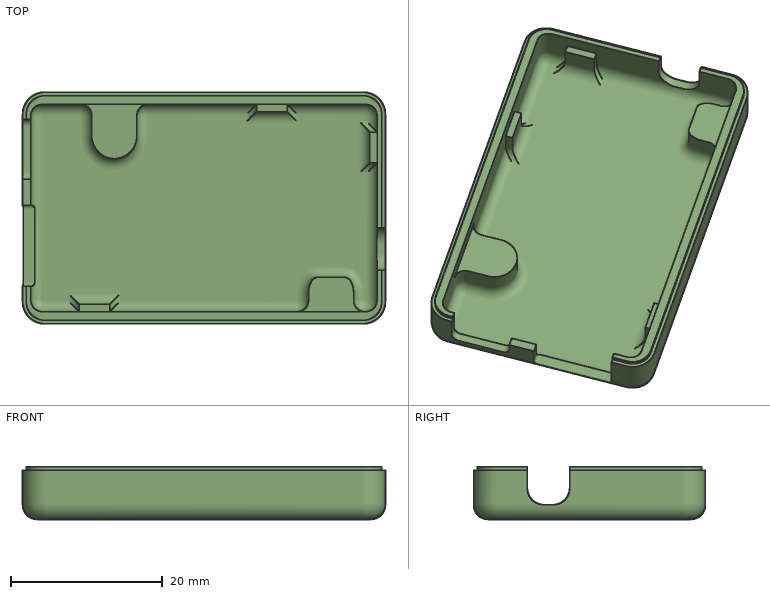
import cadquery as cq
import math

length = 47.9
width = 30.6
height = 7.0
corner_radius = 2.95
bottom_edge_radius = 1.95

lip_height = 0.5
lip_inset = 0.5

end_wall = 1.1
side_wall = 1.65
floor_thickness = 1.0
cavity_length = length - 2 * end_wall
cavity_width = width - 2 * side_wall
cavity_corner_radius = 1.55
floor_fillet = 1.45

support_top = 5.05
boss_radius = 2.95
boss_wall_fillet = 1.5
edge_pick_margin = 0.05
back_boss_x = -11.85
back_boss_center_y = 9.5
front_boss_x = 16.75
front_boss_center_y = -11.1
front_boss_flat_y = -9.15
front_boss_nose_radius = 0.95
clip_width = 4.0
clip_depth = 0.95
front_clip_x = -14.45
back_clip_x = 8.95
end_clip_y = 8.0

opening_front_y = -10.3
opening_back_y = 11.7
tab_front_y = 0.4
tab_back_y = 3.8
tab_top = 4.4
back_pocket_bottom = 2.3
back_pocket_radius = 0.95
front_pocket_bottom = 1.35
front_pocket_radius = 0.5

notch_y = -5.4
notch_width = 5.55
notch_bottom = 1.95
notch_radius = 2.15

clearance = 0.5
cut_depth = end_wall + floor_fillet


def rounded_block(size_x, size_y, bottom, top, radius):
    """Upright block centred on Z with rounded vertical edges."""
    block = cq.Workplane("XY").workplane(offset=bottom).rect(size_x, size_y).extrude(top - bottom)
    return block.edges("|Z").fillet(radius)


def make_shell():
    shoulder = height - lip_height
    body = rounded_block(length, width, 0, shoulder, corner_radius)
    body = body.faces("<Z").edges().fillet(bottom_edge_radius)
    lip = rounded_block(
        length - 2 * lip_inset, width - 2 * lip_inset, shoulder, height, corner_radius - lip_inset
    )
    return body.union(lip)


def round_nosed_boss(x, center_y, wall_side):
    """Boss reaching from a long wall (wall_side +1 is +Y, -1 is -Y) to a half-round nose."""
    wall_y = wall_side * (width / 2)
    return (
        cq.Workplane("XY")
        .moveTo(x - boss_radius, wall_y)
        .lineTo(x - boss_radius, center_y)
        .threePointArc((x, center_y - wall_side * boss_radius), (x + boss_radius, center_y))
        .lineTo(x + boss_radius, wall_y)
        .close()
        .extrude(support_top)
    )


def make_front_boss():
    """Front boss: its nose is cut flat and the two resulting corners are rounded."""
    boss = round_nosed_boss(front_boss_x, front_boss_center_y, -1)
    trim = (
        cq.Workplane("XY")
        .box(2 * boss_radius, 2 * boss_radius, height, centered=(True, False, False))
        .translate((front_boss_x, front_boss_flat_y, 0))
    )
    return boss.cut(trim).faces(">Y").edges("|Z").fillet(front_boss_nose_radius)


def edges_at_boss_walls(cavity):
    """Vertical edges where the boss sides leave the long walls."""
    edges = cavity.newObject([])
    for boss_x, wall_side in ((back_boss_x, 1), (front_boss_x, -1)):
        wall_y = wall_side * cavity_width / 2
        for x in (boss_x - boss_radius, boss_x + boss_radius):
            low = (x - edge_pick_margin, wall_y - edge_pick_margin, 0)
            high = (x + edge_pick_margin, wall_y + edge_pick_margin, height)
            edges = edges.add(cavity.edges(cq.selectors.BoxSelector(low, high)))
    return edges


def make_cavity():
    """Open space inside the tray, rounded along the floor and around the bosses."""
    lower = rounded_block(
        cavity_length, cavity_width, floor_thickness, support_top, cavity_corner_radius
    )
    lower = lower.cut(round_nosed_boss(back_boss_x, back_boss_center_y, 1))
    lower = lower.cut(make_front_boss())
    lower = edges_at_boss_walls(lower).fillet(boss_wall_fillet)
    lower = lower.faces("<Z").edges().fillet(floor_fillet)
    upper = rounded_block(
        cavity_length, cavity_width, support_top, height + clearance, cavity_corner_radius
    )
    return lower.union(upper)


def flared_profile(plane, half_width):
    """Upright profile whose sides sweep outward in a quarter arc at the floor."""
    foot = half_width + floor_fillet
    arc_top = floor_thickness + floor_fillet
    arc_offset = floor_fillet * (1 - math.sqrt(0.5))
    arc_mid_x = half_width + arc_offset
    arc_mid_z = floor_thickness + arc_offset
    return (
        cq.Workplane(plane)
        .moveTo(-foot, floor_thickness)
        .threePointArc((-arc_mid_x, arc_mid_z), (-half_width, arc_top))
        .lineTo(-half_width, support_top)
        .lineTo(half_width, support_top)
        .lineTo(half_width, arc_top)
        .threePointArc((arc_mid_x, arc_mid_z), (foot, floor_thickness))
        .close()
    )


def make_clip():
    """Clip standing on the wall plane Y = 0 and reaching toward +Y, with a mitred flared foot."""
    reach = clip_depth + floor_fillet
    span = clip_width / 2 + floor_fillet
    across = flared_profile("XZ", clip_width / 2).extrude(reach, both=True)
    outward = flared_profile("YZ", clip_depth).extrude(span, both=True)
    inner_half = cq.Workplane("XY").box(2 * span, reach, height, centered=(True, False, False))
    return across.intersect(outward).intersect(inner_half)


def place_clip(angle, x, y):
    return make_clip().rotate((0, 0, 0), (0, 0, 1), angle).translate((x, y, 0))


def wall_cutter(start_x, front_y, back_y, bottom, radius):
    """Cutter open at the top, running from start_x toward +X, with rounded lower corners."""
    size_x = cut_depth + clearance
    size_y = back_y - front_y
    size_z = height + clearance - bottom
    cutter = cq.Workplane("XY").box(size_x, size_y, size_z, centered=False)
    cutter = cutter.translate((start_x, front_y, bottom))
    if radius > 0:
        cutter = cutter.faces("<Z").edges("|X").fillet(radius)
    return cutter


def cut_left_opening(tray):
    """Window over the tab in the -X wall, and the two pockets either side of the tab."""
    start_x = -length / 2 - clearance
    tray = tray.cut(wall_cutter(start_x, opening_front_y, opening_back_y, tab_top, 0))
    tray = tray.cut(
        wall_cutter(start_x, tab_back_y, opening_back_y, back_pocket_bottom, back_pocket_radius)
    )
    return tray.cut(
        wall_cutter(start_x, opening_front_y, tab_front_y, front_pocket_bottom, front_pocket_radius)
    )


def cut_right_notch(tray):
    """Round-cornered notch in the +X wall."""
    front_y = notch_y - notch_width / 2
    back_y = notch_y + notch_width / 2
    return tray.cut(
        wall_cutter(length / 2 - cut_depth, front_y, back_y, notch_bottom, notch_radius)
    )


result = make_shell().cut(make_cavity())
result = result.union(place_clip(0, front_clip_x, -cavity_width / 2))
result = result.union(place_clip(180, back_clip_x, cavity_width / 2))
result = result.union(place_clip(90, cavity_length / 2, end_clip_y))
result = cut_left_opening(result)
result = cut_right_notch(result)